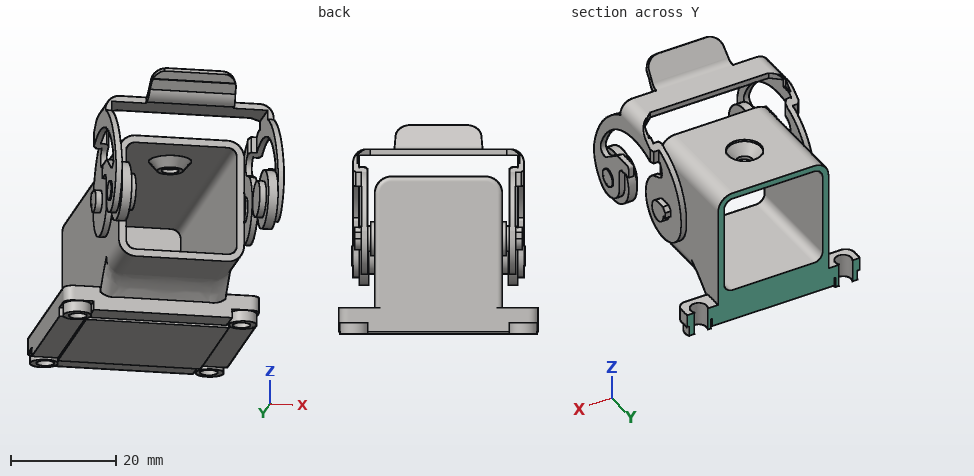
import cadquery as cq
import math


base_side = 38.0
base_top = 5.05
base_corner_radius = 1.85
skirt_bottom = 0.45
notch_side = 5.55
notch_top = 2.15
foot_radius = 2.7
foot_inset = 2.9
hole_inset = 3.1
hole_diameter = 3.4
seal_side = 27.7

housing_width = 24.3
housing_length = 56.1
housing_top = 30.0
tunnel_bottom = 6.0
tunnel_corner_radius = 3.3
back_edge_radius = 1.0
wall = 1.4
underside_bend_start = 44.0
underside_bend_radius = 7.85
underside_corner_heights = [(base_side, 0.9), (40.9, 1.5), (underside_bend_start, tunnel_corner_radius)]

dimple_forward = 44.95
dimple_top_radius = 3.55
dimple_land_depth = 0.45
dimple_hole_radius = 1.6
dimple_cone_depth = 2.5
dimple_bump_radius = 4.7
dimple_bump_floor_radius = 2.45
dimple_bump_depth = 3.3

sheet = 1.2
lever_half_width = 16.3
lever_top = 35.2
lever_bend_radius = 2.75
lever_tip = 74.15
jog_start = 52.1
jog_end = 53.5
jog_corner = 0.5
jog_offset = 1.6
strap_back = 57.4
strap_front = 64.1
strap_edge = 58.4
strap_edge_half_width = 13.0
strap_corner_back = 56.2
strap_corner_half_width = 15.5

back_arc_middle = (46.35, 26.7)
jog_top = 30.85
jog_bottom = 28.1
strap_slope_start = 54.35
arm_top = 32.25
arm_arc_middle = (71.05, 26.4)
arm_tip_height = 19.0
arm_end_arc_middle = (73.4, 14.8)
window_slot_back = (69.1, 19.35)
window_slot_middle = (71.1, 19.4)
window_slot_front = (71.4, 21.2)
window_front_arc_middle = (67.3, 26.85)
window_top = (59.4, 29.75)
window_back_arc_middle = (55.8, 29.45)
window_end_middle = (50.95, 26.25)
window_end = (51.7, 24.6)

hook_tip = 60.9
hook_top = 22.1
hook_bottom = 19.6
hook_corner = 0.6
hook_throat_radius = 1.05
hook_slope_start = 65.1

pivot_forward = 50.4
pivot_height = 18.2
pivot_disc_radius = 6.75
pivot_shoulder_angle = 51
pivot_boss_radius = 3.3
pivot_boss_face = 12.9
pivot_neck_radius = 2.45
pivot_head_radius = 2.15
pivot_head_face = 15.95
pivot_split_height = 25.2
pivot_room_length = 5.9
key_length = 2.9
key_corner = 0.9

roller_forward = 68.5
roller_height = 14.9
roller_radius = 5.6
roller_face = 13.3
lobe_radius = 4.15
hub_radius = 3.5
hub_face = 12.0
roller_pin_radius = 1.85
roller_pin_face = 16.55

tongue_root = 63.7
tongue_half_width = 8.6
tongue_tip_half_width = 8.0
tongue_tip_forward = 68.9
tongue_slope = 49
tongue_length = 8.9
tongue_tip_height = 39.8
tongue_tip_radius = 3.0
tongue_top_bend_middle = (65.0, 35.45)
tongue_top_bend_end = (65.6, 36.05)
tongue_tip_underside = (69.7, 38.9)
tongue_pad_step = (68.45, 37.7)
tongue_stem_step = (68.6, 37.5)
tongue_under_bend_end = (67.0, 36.0)
tongue_under_bend_middle = (66.0, 34.6)
tongue_under_bend_start = 64.9


def side_plane(x):
    """Sketch plane at the given X: local x runs forward, local y runs up, normal along -X."""
    return cq.Workplane(cq.Plane(origin=(x, 0, 0), xDir=(0, -1, 0), normal=(-1, 0, 0)))


def disc(forward, height, radius, inner, outer):
    """Cylinder along X between two distances from the mirror plane, on the +X side."""
    return side_plane(outer).center(forward, height).circle(radius).extrude(outer - inner)


def polar(center, radius, degrees):
    """Point on a circle in a side plane."""
    angle = math.radians(degrees)
    return (center[0] + radius * math.cos(angle), center[1] + radius * math.sin(angle))


def corner_points(inset):
    """The four points set in from the base plate corners."""
    reach = base_side / 2 - inset
    return [(sx * reach, sy * reach) for sx in (-1, 1) for sy in (-1, 1)]


def base_level(z):
    """Horizontal sketch plane at height z, centred on the base plate."""
    return cq.Workplane("XY", origin=(0, -base_side / 2, z))


def make_base():
    plate = base_level(skirt_bottom).rect(base_side, base_side).extrude(base_top - skirt_bottom)
    plate = plate.edges("|Z").fillet(base_corner_radius)
    notches = (
        base_level(skirt_bottom)
        .pushPoints(corner_points(notch_side / 2))
        .rect(notch_side, notch_side)
        .extrude(notch_top - skirt_bottom)
    )
    feet = base_level(0).pushPoints(corner_points(foot_inset)).circle(foot_radius).extrude(notch_top)
    seal = base_level(0).rect(seal_side, seal_side).extrude(base_top)
    return plate.cut(notches).union(feet).union(seal)


def make_base_holes():
    return base_level(0).pushPoints(corner_points(hole_inset)).circle(hole_diameter / 2).extrude(base_top)


def housing_block(start, end, bottom):
    """Full-width, full-height block of the housing between two forward distances."""
    return (
        side_plane(housing_width / 2)
        .moveTo(start, bottom)
        .rect(end - start, housing_top - bottom, centered=False)
        .extrude(housing_width)
    )


def make_underside_bend():
    """Swooping block from the base front up to the tunnel, its corner rounding growing forward."""
    half_width = housing_width / 2
    flat_half_width = half_width - tunnel_corner_radius
    block_top = housing_top - tunnel_corner_radius
    on_diagonal = math.sqrt(0.5)
    arc_width = flat_half_width + tunnel_corner_radius * on_diagonal
    wires = []
    for forward, corner_height in underside_corner_heights:
        run = underside_bend_start - forward
        bottom = tunnel_bottom - underside_bend_radius + math.sqrt(underside_bend_radius**2 - run**2)
        corner_top = bottom + corner_height
        arc_level = corner_top - corner_height * on_diagonal
        section = (
            cq.Workplane("XZ", origin=(0, -forward, 0))
            .moveTo(-half_width, block_top)
            .lineTo(-half_width, corner_top)
            .threePointArc((-arc_width, arc_level), (-flat_half_width, bottom))
            .lineTo(flat_half_width, bottom)
            .threePointArc((arc_width, arc_level), (half_width, corner_top))
            .lineTo(half_width, block_top)
            .close()
        )
        wires.append(section.val())
    return cq.Workplane(cq.Solid.makeLoft(wires))


def make_housing():
    rear = housing_block(0, base_side, skirt_bottom)
    rear = rear.edges("|Y and >Z").fillet(tunnel_corner_radius)
    rear = rear.faces(">Y").edges("not <Z").fillet(back_edge_radius)
    middle = housing_block(base_side, underside_bend_start, housing_top / 2)
    middle = middle.edges("|Y and >Z").fillet(tunnel_corner_radius)
    tunnel = housing_block(underside_bend_start, housing_length, tunnel_bottom)
    tunnel = tunnel.edges("|Y").fillet(tunnel_corner_radius)
    return rear.union(middle).union(make_underside_bend()).union(tunnel).clean()


def make_cavity():
    height = housing_top - tunnel_bottom - 2 * wall
    cavity = (
        cq.Workplane("XZ", origin=(0, -wall, tunnel_bottom + wall + height / 2))
        .rect(housing_width - 2 * wall, height)
        .extrude(housing_length - wall)
    )
    return cavity.edges("|Y").fillet(tunnel_corner_radius - wall)


def roof_cone(start_depth, start_radius, end_depth, end_radius):
    """Cone frustum on the dimple axis, narrowing downward from the roof."""
    return (
        cq.Workplane("XY", origin=(0, -dimple_forward, housing_top - start_depth))
        .circle(start_radius)
        .workplane(offset=start_depth - end_depth)
        .circle(end_radius)
        .loft()
    )


def roof_hole(radius, depth):
    """Cylinder on the dimple axis, going down from the roof."""
    return cq.Workplane("XY", origin=(0, -dimple_forward, housing_top)).circle(radius).extrude(-depth)


def make_dimple():
    land = roof_hole(dimple_top_radius, dimple_land_depth)
    cone = roof_cone(dimple_land_depth, dimple_top_radius, dimple_cone_depth, dimple_hole_radius)
    hole = roof_hole(dimple_hole_radius, dimple_bump_depth)
    return land.union(cone).union(hole)


def make_lever_outline():
    """Side silhouette of the lever: pivot disc, strap, curved arm, roller lobe and hook."""
    pivot = (pivot_forward, pivot_height)
    lobe = (roller_forward, roller_height)
    disc_back = polar(pivot, pivot_disc_radius, 180)
    disc_underside = polar(pivot, pivot_disc_radius, -60)
    disc_shoulder = polar(pivot, pivot_disc_radius, pivot_shoulder_angle)
    lobe_front = polar(lobe, lobe_radius, -45)
    lobe_underside = polar(lobe, lobe_radius, -112)
    lobe_back = polar(lobe, lobe_radius, 180)
    hook_rounding = hook_corner * (1 - math.sqrt(0.5))
    hook_corner_middle = (hook_tip + hook_rounding, hook_top - hook_rounding)
    throat_middle_shift = hook_throat_radius * (1 - math.sqrt(0.5))
    throat_middle = (lobe_back[0] - throat_middle_shift, hook_bottom - throat_middle_shift)
    return (
        side_plane(lever_half_width)
        .moveTo(*disc_back)
        .threePointArc(back_arc_middle, (jog_start, jog_top))
        .lineTo(strap_slope_start, lever_top - lever_bend_radius)
        .lineTo(strap_back, lever_top)
        .lineTo(strap_front, lever_top)
        .lineTo(strap_front, arm_top)
        .threePointArc(arm_arc_middle, (lever_tip, arm_tip_height))
        .threePointArc(arm_end_arc_middle, lobe_front)
        .threePointArc(lobe_underside, lobe_back)
        .lineTo(lobe_back[0], hook_bottom - hook_throat_radius)
        .threePointArc(throat_middle, (lobe_back[0] - hook_throat_radius, hook_bottom))
        .lineTo(hook_tip, hook_bottom)
        .lineTo(hook_tip, hook_top - hook_corner)
        .threePointArc(hook_corner_middle, (hook_tip + hook_corner, hook_top))
        .lineTo(hook_slope_start, hook_top)
        .lineTo(*window_slot_back)
        .threePointArc(window_slot_middle, window_slot_front)
        .threePointArc(window_front_arc_middle, window_top)
        .threePointArc(window_back_arc_middle, (jog_start, jog_bottom))
        .threePointArc(window_end_middle, window_end)
        .lineTo(*disc_shoulder)
        .threePointArc(disc_underside, disc_back)
        .close()
        .extrude(2 * lever_half_width)
    )


def make_lever_channel():
    """Front part of the bent sheet: a U channel with sharp inner and rounded outer bends."""
    length = lever_tip - jog_end
    outside = (
        cq.Workplane("XZ", origin=(0, -jog_end, lever_top / 2))
        .rect(2 * lever_half_width, lever_top)
        .extrude(length)
        .edges("|Y and >Z")
        .fillet(lever_bend_radius)
    )
    inside = (
        cq.Workplane("XZ", origin=(0, -jog_end, (lever_top - sheet) / 2))
        .rect(2 * (lever_half_width - sheet), lever_top - sheet)
        .extrude(length)
    )
    pivot_room = (
        side_plane(lever_half_width)
        .moveTo(jog_end, 0)
        .rect(pivot_room_length, pivot_split_height, centered=False)
        .extrude(2 * lever_half_width)
    )
    return outside.cut(inside).cut(pivot_room)


def make_strap_trim():
    """Vertical cut that squares the back edge of the strap and slants its two corners."""
    return (
        cq.Workplane("XY", origin=(0, 0, lever_top - lever_bend_radius))
        .moveTo(-strap_corner_half_width, -jog_end)
        .lineTo(-strap_corner_half_width, -strap_corner_back)
        .lineTo(-strap_edge_half_width, -strap_edge)
        .lineTo(strap_edge_half_width, -strap_edge)
        .lineTo(strap_corner_half_width, -strap_corner_back)
        .lineTo(strap_corner_half_width, -jog_end)
        .close()
        .extrude(lever_bend_radius)
    )


def make_pivot_arm():
    """Rear part of the sheet on the +X side: the jog inward and the flat plate around the pivot."""
    outer = lever_half_width - jog_offset
    inner = outer - sheet
    rear = pivot_forward - pivot_disc_radius
    front = pivot_forward + pivot_disc_radius
    jogged = (
        cq.Workplane("XY", origin=(0, 0, pivot_split_height))
        .moveTo(inner, -rear)
        .lineTo(outer, -rear)
        .lineTo(outer, -jog_start)
        .lineTo(lever_half_width - jog_corner, -jog_start)
        .lineTo(lever_half_width, -jog_start - jog_corner)
        .lineTo(lever_half_width, -jog_end)
        .lineTo(inner + jog_corner, -jog_end)
        .lineTo(inner, -jog_end + jog_corner)
        .close()
        .extrude(lever_top - pivot_split_height)
    )
    flat = (
        side_plane(outer)
        .moveTo(rear, 0)
        .rect(front - rear, pivot_split_height, centered=False)
        .extrude(sheet)
    )
    return jogged.union(flat)


def make_pivot():
    """Boss on the housing wall, neck, and keyed pin head on the +X side."""
    sheet_outside = lever_half_width - jog_offset
    at_pivot = (pivot_forward, pivot_height)
    boss = disc(*at_pivot, pivot_boss_radius, housing_width / 2 - wall / 2, pivot_boss_face)
    neck = disc(*at_pivot, pivot_neck_radius, pivot_boss_face, sheet_outside)
    head = disc(*at_pivot, pivot_head_radius, sheet_outside, pivot_head_face)
    key = (
        side_plane(pivot_head_face)
        .center(*at_pivot)
        .lineTo(-key_length, 0)
        .lineTo(-key_length, pivot_head_radius - key_corner)
        .lineTo(key_corner - key_length, pivot_head_radius)
        .lineTo(0, pivot_head_radius)
        .close()
        .extrude(pivot_head_face - sheet_outside)
    )
    return boss.union(neck).union(head).union(key)


def make_roller():
    """Roller with its inner hub and outer pin end on the +X side."""
    sheet_inside = lever_half_width - sheet
    at_roller = (roller_forward, roller_height)
    roller = disc(*at_roller, roller_radius, roller_face, sheet_inside)
    hub = disc(*at_roller, hub_radius, hub_face, roller_face)
    pin = disc(*at_roller, roller_pin_radius, sheet_inside, roller_pin_face)
    return roller.union(hub).union(pin)


def make_tongue():
    """Thumb tongue: bent up from the strap, with a shallow step underneath near its tip."""
    profile = (
        side_plane(tongue_half_width)
        .moveTo(tongue_root, lever_top)
        .lineTo(strap_front, lever_top)
        .threePointArc(tongue_top_bend_middle, tongue_top_bend_end)
        .lineTo(tongue_tip_forward, tongue_tip_height)
        .lineTo(*tongue_tip_underside)
        .lineTo(*tongue_pad_step)
        .lineTo(*tongue_stem_step)
        .lineTo(*tongue_under_bend_end)
        .threePointArc(tongue_under_bend_middle, (tongue_under_bend_start, lever_top - sheet))
        .lineTo(tongue_root, lever_top - sheet)
        .close()
        .extrude(2 * tongue_half_width)
    )
    slope = math.radians(tongue_slope)
    tip_plane = cq.Plane(
        origin=(0, -tongue_tip_forward, tongue_tip_height),
        xDir=(1, 0, 0),
        normal=(0, -math.sin(slope), -math.cos(slope)),
    )
    outline = (
        cq.Workplane(tip_plane)
        .moveTo(-tongue_half_width, -tongue_length)
        .lineTo(-tongue_tip_half_width, 0)
        .lineTo(tongue_tip_half_width, 0)
        .lineTo(tongue_half_width, -tongue_length)
        .close()
        .extrude(tongue_length, both=True)
    )
    rounded_tip = cq.selectors.DirectionMinMaxSelector(cq.Vector(0, -math.cos(slope), math.sin(slope)))
    outline = outline.faces(rounded_tip).edges("not |X").fillet(tongue_tip_radius)
    return profile.intersect(outline)


def both_sides(part):
    return part.union(part.mirror("YZ"))


housing = make_housing().cut(make_cavity())
dimple_bump = roof_cone(wall / 2, dimple_bump_radius, dimple_bump_depth, dimple_bump_floor_radius)
housing = housing.union(dimple_bump).cut(make_dimple())

lever_sheet = make_lever_channel().union(both_sides(make_pivot_arm()))
lever = lever_sheet.intersect(make_lever_outline()).cut(make_strap_trim())
lever = lever.union(make_tongue()).union(both_sides(make_roller()))

base = make_base().cut(make_base_holes())
result = base.union(housing).union(both_sides(make_pivot())).union(lever)